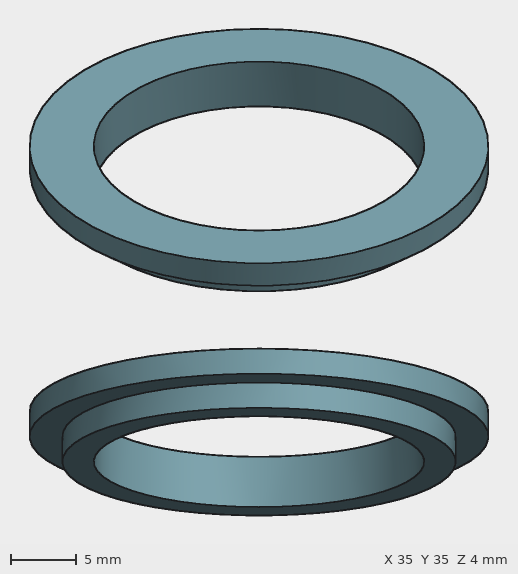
import cadquery as cq

flange_diameter = 35.0
spigot_diameter = 30.0
bore_diameter = 25.2
total_height = 4.0
flange_thickness = total_height / 2
spigot_height = total_height - flange_thickness

spigot = cq.Workplane("XY").circle(spigot_diameter / 2).extrude(spigot_height)

ring = spigot.faces(">Z").workplane().circle(flange_diameter / 2).extrude(flange_thickness)

result = ring.faces(">Z").workplane().hole(bore_diameter)